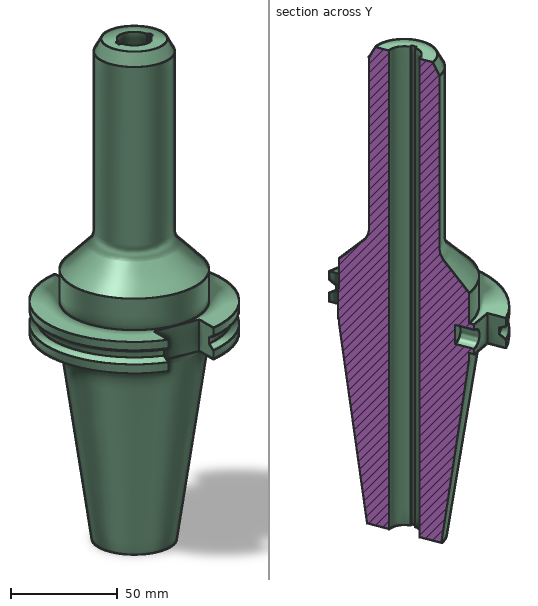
import cadquery as cq
import math

total_height = 254
taper_height = 101.5
flange_bottom = 104.6
flange_top = 120.6
collar_top = 136.7
nose_chamfer_height = 6.4

taper_small_radius = 20.0
collar_radius = 35.0
flange_radius = 98.3 / 2
shank_radius = 19.0
nose_radius = 15.5

shoulder_angle = math.radians(45)
blend_radius = 9.7

groove_height = 112.8
groove_depth = 3.5
groove_floor_width = 3.0
groove_wall_angle = math.radians(30)

slot_width = 25.5
left_slot_floor = 37.5
right_slot_floor = 35.5
dimple_diameter = 10.0
dimple_depth = 10.2

bore_radius = 8.1
coolant_groove_width = 2.5
coolant_groove_reach = 9.5


def turned_body():
    groove_floor_radius = flange_radius - groove_depth
    floor_half = groove_floor_width / 2
    mouth_half = floor_half + groove_depth * math.tan(groove_wall_angle)

    blend_start_radius = shank_radius + blend_radius * (1 - math.cos(shoulder_angle))
    blend_start = collar_top + (collar_radius - blend_start_radius) * math.tan(shoulder_angle)
    blend_end = blend_start + blend_radius * math.sin(shoulder_angle)
    blend_middle = (
        shank_radius + blend_radius * (1 - math.cos(shoulder_angle / 2)),
        blend_end - blend_radius * math.sin(shoulder_angle / 2),
    )

    profile = (
        cq.Workplane("XZ")
        .lineTo(taper_small_radius, 0)
        .lineTo(collar_radius, taper_height)
        .lineTo(collar_radius, flange_bottom)
        .lineTo(flange_radius, flange_bottom)
        .lineTo(flange_radius, groove_height - mouth_half)
        .lineTo(groove_floor_radius, groove_height - floor_half)
        .lineTo(groove_floor_radius, groove_height + floor_half)
        .lineTo(flange_radius, groove_height + mouth_half)
        .lineTo(flange_radius, flange_top)
        .lineTo(collar_radius, flange_top)
        .lineTo(collar_radius, collar_top)
        .lineTo(blend_start_radius, blend_start)
        .threePointArc(blend_middle, (shank_radius, blend_end))
        .lineTo(shank_radius, total_height - nose_chamfer_height)
        .lineTo(nose_radius, total_height)
        .lineTo(0, total_height)
        .close()
    )
    return profile.revolve(360, (0, 0, 0), (0, 1, 0))


def drive_slot(side, floor):
    """Slot cutter on side -1 (left) or +1 (right), from its floor out past the rim."""
    length = flange_radius
    return (
        cq.Workplane("XY", origin=(side * (floor + length / 2), 0, flange_bottom))
        .rect(length, slot_width)
        .extrude(flange_top - flange_bottom)
    )


def dimple():
    """Blind round hole in the floor of the left slot."""
    return (
        cq.Workplane("YZ", origin=(-left_slot_floor, 0, (flange_bottom + flange_top) / 2))
        .circle(dimple_diameter / 2)
        .extrude(dimple_depth)
    )


def coolant_bore():
    bore = cq.Workplane("XY").circle(bore_radius).extrude(total_height)
    grooves = (
        cq.Workplane("XY")
        .rect(coolant_groove_width, 2 * coolant_groove_reach)
        .extrude(total_height)
    )
    return bore.union(grooves)


result = (
    turned_body()
    .cut(drive_slot(-1, left_slot_floor))
    .cut(drive_slot(1, right_slot_floor))
    .cut(dimple())
    .cut(coolant_bore())
)